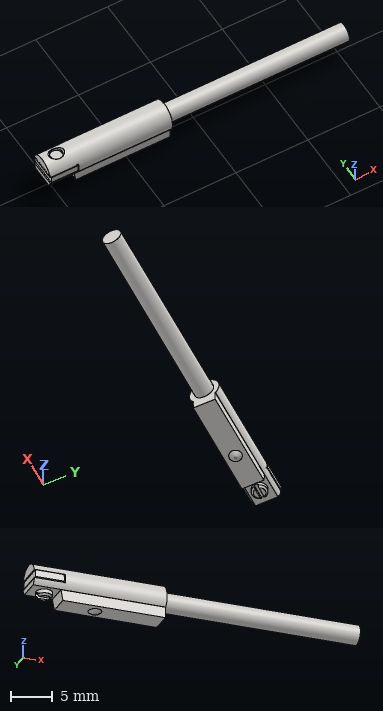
import cadquery as cq

total_length = 42.0
body_length = 16.95
body_diameter = 4.0
body_radius = body_diameter / 2
total_height = 5.1
rod_diameter = 2.5
body_flat_z = -1.3

rail_width = 2.95
rail_bottom_z = -2.7
rail_top_front_x = 3.55
rail_bottom_front_x = 3.82

button_x = 8.5
button_diameter = 1.65
button_tip_diameter = 0.25
button_bulge = 0.05
button_height = total_height - body_radius + rail_bottom_z

slot_length = 3.95
slot_top_z = 0.55
slot_bottom_z = -0.5
insert_front_x = 0.13
insert_back_x = 3.82
insert_bottom_z = -0.38

screw_x = 1.97
screw_shank_diameter = 1.65
screw_head_diameter = 2.0
screw_head_bottom_z = -2.05
screw_head_chamfer = 0.25
drive_slot_width = 0.5
drive_slot_depth = 0.5

recess_depth = 0.5
countersink_diameter = 2.05
countersink_depth = (countersink_diameter - screw_shank_diameter) / 2


def box(x_start, x_end, width, z_start, z_end):
    """Block centred on Y between the given X and Z limits."""
    block = cq.Workplane("XY").box(x_end - x_start, width, z_end - z_start, centered=(False, True, False))
    return block.translate((x_start, 0, z_start))


def cylinder_up(x, z_start, z_end, diameter):
    """Vertical cylinder on the centre line at the given X."""
    return cq.Workplane("XY", origin=(x, 0, z_start)).circle(diameter / 2).extrude(z_end - z_start)


def make_body():
    """Round body with a flat underside and a slotted nose."""
    body = cq.Workplane("YZ").circle(body_radius).extrude(body_length)
    body = body.intersect(box(0, body_length, body_diameter, body_flat_z, body_radius))
    return body.cut(box(0, slot_length, body_diameter, slot_bottom_z, slot_top_z))


def make_rail():
    """Rail below the flat of the body, slightly longer where it meets the flat."""
    outline = [
        (rail_top_front_x, body_flat_z),
        (rail_bottom_front_x, rail_bottom_z),
        (body_length, rail_bottom_z),
        (body_length, body_flat_z),
    ]
    return cq.Workplane("XZ").polyline(outline).close().extrude(rail_width / 2, both=True)


def make_button():
    """Truncated cone with its bulging side given by an arc."""
    radius = button_diameter / 2
    tip_radius = button_tip_diameter / 2
    mid_point = ((radius + tip_radius) / 2 + button_bulge, -button_height / 2 - button_bulge)
    profile = (
        cq.Workplane("XZ")
        .lineTo(radius, 0)
        .threePointArc(mid_point, (tip_radius, -button_height))
        .lineTo(0, -button_height)
        .close()
    )
    return profile.revolve(360, (0, 0), (0, 1)).translate((button_x, 0, rail_bottom_z))


def make_screw():
    """Screw with a shank across the slot gap and a slotted, chamfered head."""
    head = cylinder_up(screw_x, screw_head_bottom_z, body_flat_z, screw_head_diameter)
    head = head.faces("<Z").chamfer(screw_head_chamfer)
    head_radius = screw_head_diameter / 2
    drive_slot_top_z = screw_head_bottom_z + drive_slot_depth
    drive_slot = box(
        screw_x - head_radius, screw_x + head_radius, drive_slot_width, screw_head_bottom_z, drive_slot_top_z
    )
    shank = cylinder_up(screw_x, body_flat_z, slot_top_z, screw_shank_diameter)
    return head.cut(drive_slot).union(shank)


def make_recess():
    """Blind hole from the top of the body, with a conical mouth."""
    hole = cylinder_up(screw_x, body_radius - recess_depth, body_radius, screw_shank_diameter)
    mouth = (
        cq.Workplane("XY", origin=(screw_x, 0, body_radius))
        .circle(countersink_diameter / 2)
        .workplane(offset=-countersink_depth)
        .circle(screw_shank_diameter / 2)
        .loft()
    )
    return hole.union(mouth)


rod = cq.Workplane("YZ", origin=(body_length, 0, 0)).circle(rod_diameter / 2).extrude(total_length - body_length)
insert = box(insert_front_x, insert_back_x, body_diameter, insert_bottom_z, slot_top_z)

result = make_body().union(rod).union(make_rail()).union(make_button())
result = result.union(insert).union(make_screw()).cut(make_recess())